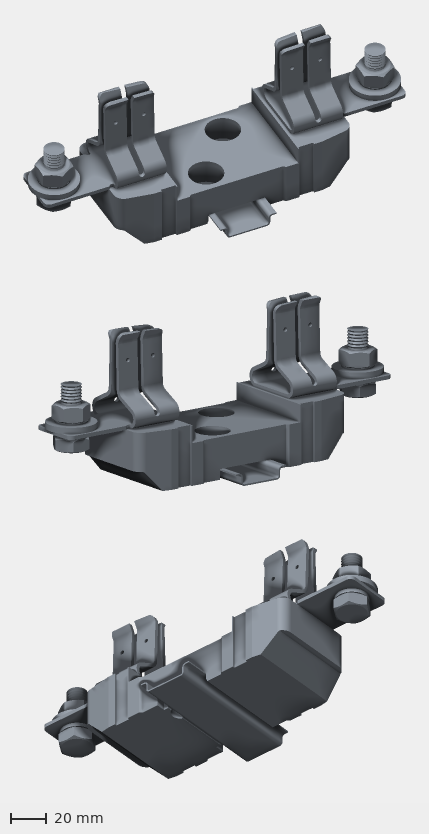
import cadquery as cq
import math


rail_length = 87.0
rail_sheet = 1.0
rail_height = 7.5
rail_half_width = 17.5
rail_channel_half_width = 13.5
rail_inside_bend = 1.4

base_bottom = 1.4
base_half_length = 73.3
base_half_width = 30.0
waist_half_width = 28.7
tapered_end_half_width = 26.5
end_corner_radius = 6.2
taper_start = 52.4
jaw_pad_inner = 47.5
middle_pad_outer = 38.4
middle_pad_inner = 30.0
pad_chamfer = base_half_width - waist_half_width
shelf_inner = 37.7
shelf_top = 36.5
middle_top = 26.2
end_wall_bottom = 13.8
end_ledge = 3.7
sloped_floor_end = 57.9

recess_half_width = 17.7
recess_lead_height = 2.0
recess_lead_in = 1.0
hook_tip = 14.7
hook_tip_height = 3.0
hook_root_height = 6.0
hook_half_length = 23.0

mount_hole_x = 15.2
mount_hole_y = 12.6
mount_hole_diameter = 10.5
mount_counterbore_diameter = 20.5
mount_counterbore_floor = 11.5

sheet = 2.3
clip_inner = 39.7
clip_outer = 70.3
clip_floor_half_width = 14.5
bulb_radius = 4.8
shoulder_length = 11.3
throat_radius = 5.3
leg_length = 26.6
lip_bend_radius = 4.4
lip_length = 4.5
shoulder_heading = 153.0
leg_heading = 92.0
lip_heading = 62.0
clip_top_outer = 89.8
clip_top_inner = 88.0
clip_corner_radius = 3.5
clip_slot_width = 3.7
clip_slot_bottom = 42.5
pin_hole_diameter = 2.5
pin_hole_spacing = 17.5
pin_hole_height = 73.0

tongue_half_width = 15.8
tongue_end = 112.8
tongue_corner_radius = 3.5
neck_end = 72.1
neck_bevel = 1.4

bolt_y = 100.1
washer_diameter = 29.5
washer_thickness = 3.7
small_washer_diameter = 20.0
small_washer_thickness = 2.3
hex_flats = 19.0
hex_sides = 6
hex_bevel_diameter = 17.7
hex_bevel_height = 1.1
nut_height = 9.6
nut_collar_diameter = 18.8
nut_collar_height = 1.0
head_height = 8.0
thread_diameter = 12.0
thread_root_diameter = 10.5
thread_pitch = 1.8
thread_rings = 6

tongue_top = shelf_top + sheet
washer_top = tongue_top + washer_thickness
nut_bottom = washer_top + nut_collar_height
nut_top = nut_bottom + nut_height
head_top = shelf_top - small_washer_thickness
head_bottom = head_top - head_height
clip_centre = (clip_inner + clip_outer) / 2


def both_sides(points):
    """Complete a half outline with its mirror image in the second axis."""
    return points + [(-across, along) for across, along in reversed(points)]


def extrude_along_x(points, half_length):
    """Extrude a closed (Y, Z) outline evenly to both sides of X = 0."""
    return cq.Workplane("YZ").polyline(points).close().extrude(half_length, both=True)


def make_rail():
    top, low = rail_height, rail_height - rail_sheet
    outer, inner = rail_channel_half_width, rail_channel_half_width - rail_sheet
    half = [
        (outer, 0),
        (outer, low),
        (rail_half_width, low),
        (rail_half_width, top),
        (inner, top),
        (inner, rail_sheet),
    ]
    rail = extrude_along_x(both_sides(half), rail_length / 2)
    bends = [
        (outer, 0, rail_inside_bend + rail_sheet),
        (inner, top, rail_inside_bend + rail_sheet),
        (outer, low, rail_inside_bend),
        (inner, rail_sheet, rail_inside_bend),
    ]
    for y, z, radius in bends:
        for side in (-1, 1):
            corner = cq.selectors.NearestToPointSelector((0, side * y, z))
            rail = rail.edges("|X").edges(corner).fillet(radius)
    return rail


def make_base():
    """Stepped plan trimmed to a side outline with sloped ends and a low middle."""
    quarter = [
        (waist_half_width, middle_pad_inner - pad_chamfer),
        (base_half_width, middle_pad_inner),
        (base_half_width, middle_pad_outer),
        (waist_half_width, middle_pad_outer),
        (waist_half_width, jaw_pad_inner),
        (base_half_width, jaw_pad_inner),
        (base_half_width, taper_start),
        (tapered_end_half_width, base_half_length),
    ]
    half = [(x, -y) for x, y in reversed(quarter)] + quarter
    plan = cq.Workplane("XY").workplane(offset=base_bottom)
    base = plan.polyline(both_sides(half)).close().extrude(shelf_top - base_bottom)
    base = base.edges("|Z and (<Y or >Y)").fillet(end_corner_radius)

    side = [
        (sloped_floor_end, base_bottom),
        (base_half_length - end_ledge, end_wall_bottom),
        (base_half_length, end_wall_bottom),
        (base_half_length, shelf_top),
        (shelf_inner, shelf_top),
        (shelf_inner, middle_top),
    ]
    base = base.intersect(extrude_along_x(both_sides(side), base_half_width))
    return base.cut(make_rail_recess()).cut(make_mounting_holes())


def make_rail_recess():
    lead_edge = -recess_half_width - recess_lead_in
    opening = [
        (recess_half_width, base_bottom),
        (recess_half_width, rail_height),
        (-recess_half_width, rail_height),
        (-recess_half_width, base_bottom + recess_lead_height),
        (lead_edge, base_bottom),
    ]
    hook = [
        (recess_half_width, base_bottom),
        (hook_tip, base_bottom),
        (hook_tip, hook_tip_height),
        (recess_half_width, hook_root_height),
    ]
    return extrude_along_x(opening, base_half_width).cut(extrude_along_x(hook, hook_half_length))


def make_mounting_holes():
    centres = [(-mount_hole_x, mount_hole_y), (mount_hole_x, -mount_hole_y)]
    plane = cq.Workplane("XY")
    holes = plane.pushPoints(centres).circle(mount_hole_diameter / 2).extrude(middle_top)
    plane = plane.workplane(offset=mount_counterbore_floor)
    bores = plane.pushPoints(centres).circle(mount_counterbore_diameter / 2)
    return holes.union(bores.extrude(middle_top - mount_counterbore_floor))


def bent_line(start, steps):
    """Mid-line of a bent sheet in the XZ plane, leaving the start along +X.

    Each step is a straight length, the radius of the bend after it and the heading after the bend.
    """
    x, z = start
    heading = 0.0
    line = cq.Workplane("XZ").moveTo(x, z)
    for length, radius, new_heading in steps:
        x += length * math.cos(math.radians(heading))
        z += length * math.sin(math.radians(heading))
        line = line.lineTo(x, z)
        bend_points = []
        for reached in ((heading + new_heading) / 2, new_heading):
            half_turn = math.radians(reached - heading) / 2
            chord = 2 * radius * abs(math.sin(half_turn))
            chord_heading = math.radians(heading) + half_turn
            bend_points.append((x + chord * math.cos(chord_heading), z + chord * math.sin(chord_heading)))
        line = line.threePointArc(*bend_points)
        x, z = bend_points[-1]
        heading = new_heading
    return line


def make_clip():
    mid_height = shelf_top + sheet / 2
    line = bent_line((0, mid_height), [
        (clip_floor_half_width, bulb_radius, shoulder_heading),
        (shoulder_length, throat_radius, leg_heading),
        (leg_length, lip_bend_radius, lip_heading),
    ])
    lip_direction = math.radians(lip_heading)
    line = line.line(lip_length * math.cos(lip_direction), lip_length * math.sin(lip_direction))
    section = cq.Workplane("YZ").center(clip_centre, mid_height).rect(clip_outer - clip_inner, sheet)
    right_half = section.sweep(line)
    clip = right_half.union(right_half.mirror("YZ"))

    reach = base_half_width
    side = [
        (clip_inner, shelf_top),
        (clip_outer, shelf_top),
        (clip_outer, clip_top_outer),
        (clip_inner, clip_top_inner),
    ]
    envelope = extrude_along_x(side, reach)
    for corner in side[2:]:
        nearest = cq.selectors.NearestToPointSelector((0, *corner))
        envelope = envelope.edges("|X").edges(nearest).fillet(clip_corner_radius)
    clip = clip.intersect(envelope)

    half_slot = clip_slot_width / 2
    slot_arc_centre = clip_slot_bottom + half_slot
    slot = (
        cq.Workplane("YZ")
        .moveTo(clip_centre - half_slot, clip_top_outer)
        .lineTo(clip_centre - half_slot, slot_arc_centre)
        .threePointArc((clip_centre, clip_slot_bottom), (clip_centre + half_slot, slot_arc_centre))
        .lineTo(clip_centre + half_slot, clip_top_outer)
        .close()
        .extrude(reach, both=True)
    )
    pin_centres = [(clip_centre + s * pin_hole_spacing / 2, pin_hole_height) for s in (-1, 1)]
    pins = cq.Workplane("YZ").pushPoints(pin_centres).circle(pin_hole_diameter / 2)
    return clip.cut(slot).cut(pins.extrude(reach, both=True))


def make_tongue():
    half = [
        (clip_floor_half_width, clip_outer),
        (clip_floor_half_width, neck_end),
        (tongue_half_width, neck_end + neck_bevel),
        (tongue_half_width, tongue_end),
    ]
    plan = cq.Workplane("XY").workplane(offset=shelf_top)
    tongue = plan.polyline(both_sides(half)).close().extrude(sheet)
    return tongue.edges("|Z and >Y").fillet(tongue_corner_radius)


def disc(diameter, bottom, height):
    """Round plate about the Z axis."""
    return cq.Workplane("XY").workplane(offset=bottom).circle(diameter / 2).extrude(height)


def hexagon(bottom, height, turn):
    """Hexagon with bevelled corners at top and bottom."""
    corner_diameter = hex_flats / math.cos(math.pi / hex_sides)
    prism = cq.Workplane("XY").workplane(offset=bottom).polygon(hex_sides, corner_diameter).extrude(height)
    bevel_width = (corner_diameter - hex_bevel_diameter) / 2
    rounded = disc(corner_diameter, bottom, height)
    rounded = rounded.faces(">Z").chamfer(hex_bevel_height, bevel_width)
    rounded = rounded.faces("<Z").chamfer(hex_bevel_height, bevel_width)
    return prism.rotate((0, 0, 0), (0, 0, 1), turn).intersect(rounded)


def make_threaded_end():
    """Ringed stud above the nut, revolved about the bolt axis."""
    crest, root = thread_diameter / 2, thread_root_diameter / 2
    outline = [(0, head_top), (root, head_top), (root, nut_top), (crest, nut_top)]
    for ring in range(thread_rings):
        bottom = nut_top + ring * thread_pitch
        outline.append((root, bottom + thread_pitch / 2))
        outline.append((crest, bottom + thread_pitch))
    outline.append((0, nut_top + thread_rings * thread_pitch))
    return cq.Workplane("XZ").polyline(outline).close().revolve(360, (0, 0, 0), (0, 1, 0))


def make_bolt_set():
    bolt_set = (
        make_threaded_end()
        .union(disc(washer_diameter, tongue_top, washer_thickness))
        .union(disc(small_washer_diameter, head_top, small_washer_thickness))
        .union(disc(nut_collar_diameter, washer_top, nut_collar_height))
        .union(hexagon(nut_bottom, nut_height, turn=0))
        .union(hexagon(head_bottom, head_height, turn=180 / hex_sides))
    )
    return bolt_set.translate((0, bolt_y, 0))


terminal = make_clip().union(make_tongue()).union(make_bolt_set())
result = make_base().union(make_rail()).union(terminal).union(terminal.mirror("XZ"))